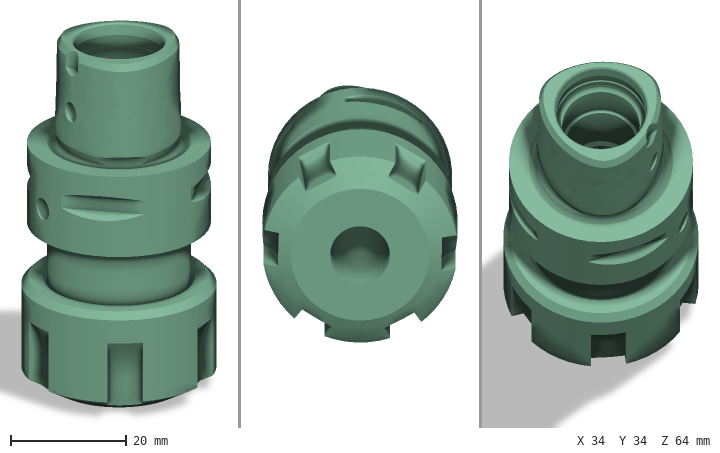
import cadquery as cq
import math

NUT_TOP = 19.65
FILLET_START = 28.0
COLLAR_BOTTOM = 29.95
COLLAR_TOP = 45.05
NECK_TOP = 46.4
TAPER_BOTTOM = 47.35
SHANK_TOP = 64.0

NUT_DIAMETER = 34.0
NUT_FACE_DIAMETER = 24.05
NUT_CONE_HEIGHT = 2.95
NUT_TOP_CHAMFER = 1.2
NUT_RECESS_DIAMETER = 26.5
SLOT_COUNT = 6
SLOT_WIDTH = 6.15
SLOT_FLOOR_RADIUS = 14.2
SLOT_FLOOR_TOP = 7.3
SLOT_TOP = 14.1
SLOT_TOP_RADIUS = 16.8

BODY_DIAMETER = 25.0
FILLET_END_DIAMETER = 27.15
COLLAR_DIAMETER = 32.0
POCKET_COUNT = 4
POCKET_DISTANCE = 14.2
POCKET_HEIGHT = 39.0
POCKET_FLOOR_WIDTH = 2.4
POCKET_SIDE_RISE = 1.1
DIMPLE_DIAMETER = 4.0
DIMPLE_HEIGHT = 36.0
DIMPLE_DEPTH = 0.5
DIMPLE_POINT_ANGLE = 118.0

SHANK_WIDTH = 22.0
LOBE_OFFSET = 0.7
LOBE_COUNT = 3
TAPER_RATIO = 1 / 20
NECK_WIDTH = 21.45
SHANK_CHAMFER_HEIGHT = 1.15
SHANK_CHAMFER_INSET = 0.8
RELIEF_RING_RADIUS = 11.8
RELIEF_TUBE_RADIUS = 1.0
RELIEF_HEIGHT = 45.75
RELIEF_CONE_BOTTOM = 46.2
RELIEF_CONE_ANGLE = 40.0
NOTCH_RADIUS = 2.8
NOTCH_BACK = 9.0
NOTCH_POINT_ANGLE = 90.0
NOTCH_BOTTOM = 60.7
CROSS_HOLE_DIAMETER = 3.6
CROSS_HOLE_HEIGHT = 52.9

THROUGH_DIAMETER = 10.4
THREAD_DIAMETER = 12.3
THREAD_BOTTOM = 41.6
MIDDLE_DIAMETER = 13.5
MIDDLE_BOTTOM = 51.5
LEAD_CONE_BOTTOM = 57.8
LEAD_DIAMETER = 15.0
LEAD_BOTTOM = 58.25
ENTRY_DIAMETER = 15.4
ENTRY_BOTTOM = 58.75
GROOVE_DIAMETER = 16.0
GROOVE_BOTTOM = 59.8
GROOVE_TOP = 61.9
MOUTH_DIAMETER = 16.5
MOUTH_CHAMFER = 0.25


def turned_body():
    """Nut, body and collar as one revolved profile."""
    nut_radius = NUT_DIAMETER / 2
    body_radius = BODY_DIAMETER / 2
    recess_radius = NUT_RECESS_DIAMETER / 2
    recess_depth = recess_radius - body_radius
    fillet_out = FILLET_END_DIAMETER / 2 - body_radius
    fillet_rise = COLLAR_BOTTOM - FILLET_START
    fillet_radius = (fillet_out ** 2 + fillet_rise ** 2) / (2 * fillet_out)
    half_sweep = math.asin(fillet_rise / fillet_radius) / 2
    fillet_middle = (
        body_radius + fillet_radius * (1 - math.cos(half_sweep)),
        FILLET_START + fillet_radius * math.sin(half_sweep),
    )
    return (
        cq.Workplane("XZ")
        .lineTo(NUT_FACE_DIAMETER / 2, 0)
        .lineTo(nut_radius, NUT_CONE_HEIGHT)
        .lineTo(nut_radius, NUT_TOP - NUT_TOP_CHAMFER)
        .lineTo(nut_radius - NUT_TOP_CHAMFER, NUT_TOP)
        .lineTo(recess_radius, NUT_TOP)
        .lineTo(body_radius, NUT_TOP - recess_depth)
        .lineTo(body_radius, FILLET_START)
        .threePointArc(fillet_middle, (FILLET_END_DIAMETER / 2, COLLAR_BOTTOM))
        .lineTo(COLLAR_DIAMETER / 2, COLLAR_BOTTOM)
        .lineTo(COLLAR_DIAMETER / 2, COLLAR_TOP)
        .lineTo(0, COLLAR_TOP)
        .close()
        .revolve(360, (0, 0, 0), (0, 1, 0))
    )


def lobed_outline(width):
    """Return the constant-width curve with a lobe on +Y, starting on -Y."""
    def point(t):
        direction = 2 * math.pi * t - math.pi / 2
        phase = LOBE_COUNT * (direction - math.pi / 2)
        reach = width / 2 + LOBE_OFFSET * math.cos(phase)
        shift = -LOBE_COUNT * LOBE_OFFSET * math.sin(phase)
        return (
            reach * math.cos(direction) - shift * math.sin(direction),
            reach * math.sin(direction) + shift * math.cos(direction),
        )
    return point


def lobed_section(bottom, top, bottom_width, top_width):
    """Solid between two lobed outlines at different heights."""
    return (
        cq.Workplane("XY", origin=(0, 0, bottom))
        .parametricCurve(lobed_outline(bottom_width))
        .workplane(offset=top - bottom)
        .parametricCurve(lobed_outline(top_width))
        .loft(ruled=True)
    )


def shank():
    chamfer_bottom = SHANK_TOP - SHANK_CHAMFER_HEIGHT
    taper_width = SHANK_WIDTH - TAPER_RATIO * (chamfer_bottom - TAPER_BOTTOM)
    end_width = taper_width - 2 * SHANK_CHAMFER_INSET
    root = COLLAR_TOP - RELIEF_TUBE_RADIUS
    return (
        lobed_section(root, NECK_TOP, NECK_WIDTH, NECK_WIDTH)
        .union(lobed_section(NECK_TOP, TAPER_BOTTOM, SHANK_WIDTH, SHANK_WIDTH))
        .union(lobed_section(TAPER_BOTTOM, chamfer_bottom, SHANK_WIDTH, taper_width))
        .union(lobed_section(chamfer_bottom, SHANK_TOP, taper_width, end_width))
    )


def relief_ring():
    """Ring that undercuts the collar face and lobes: a round floor and a conical roof."""
    cone_start = RELIEF_CONE_BOTTOM - RELIEF_HEIGHT
    inner = RELIEF_RING_RADIUS - math.sqrt(RELIEF_TUBE_RADIUS ** 2 - cone_start ** 2)
    outer = RELIEF_RING_RADIUS + RELIEF_TUBE_RADIUS
    cone_rise = (outer - inner) * math.tan(math.radians(RELIEF_CONE_ANGLE))
    return (
        cq.Workplane("XZ")
        .moveTo(inner, RELIEF_CONE_BOTTOM)
        .lineTo(outer, RELIEF_CONE_BOTTOM + cone_rise)
        .lineTo(outer, RELIEF_HEIGHT)
        .threePointArc(
            (RELIEF_RING_RADIUS, RELIEF_HEIGHT - RELIEF_TUBE_RADIUS),
            (inner, RELIEF_CONE_BOTTOM),
        )
        .close()
        .revolve(360, (0, 0, 0), (0, 1, 0))
    )


def wrench_slots():
    """Open-bottomed slots around the nut whose floors sweep outward at the top."""
    rise = SLOT_TOP - SLOT_FLOOR_TOP
    run = SLOT_TOP_RADIUS - SLOT_FLOOR_RADIUS
    sweep_radius = (rise ** 2 + run ** 2) / (2 * run)
    half_sweep = math.asin(rise / sweep_radius) / 2
    sweep_middle = (
        SLOT_FLOOR_RADIUS + sweep_radius * (1 - math.cos(half_sweep)),
        SLOT_FLOOR_TOP + sweep_radius * math.sin(half_sweep),
    )
    slot = (
        cq.Workplane("XZ")
        .moveTo(SLOT_FLOOR_RADIUS, 0)
        .lineTo(SLOT_FLOOR_RADIUS, SLOT_FLOOR_TOP)
        .threePointArc(sweep_middle, (SLOT_TOP_RADIUS, SLOT_TOP))
        .lineTo(NUT_DIAMETER, SLOT_TOP)
        .lineTo(NUT_DIAMETER, 0)
        .close()
        .extrude(SLOT_WIDTH / 2, both=True)
    )
    return around_axis(slot, SLOT_COUNT, 360 / SLOT_COUNT / 2)


def gripper_pockets():
    """Flat-floored pockets with sloping sides around the collar."""
    depth = COLLAR_DIAMETER / 2 - POCKET_DISTANCE
    half_floor = POCKET_FLOOR_WIDTH / 2
    half_mouth = half_floor + POCKET_SIDE_RISE
    pocket = (
        cq.Workplane("XZ", origin=(POCKET_DISTANCE, 0, POCKET_HEIGHT))
        .polyline([(0, -half_floor), (0, half_floor), (depth, half_mouth), (depth, -half_mouth)])
        .close()
        .extrude(COLLAR_DIAMETER / 2, both=True)
    )
    return around_axis(pocket, POCKET_COUNT, 360 / POCKET_COUNT / 2)


def around_axis(cutter, count, first_angle):
    """Join evenly spaced copies of a cutter turned about the Z axis."""
    ring = cq.Workplane("XY")
    for index in range(count):
        angle = first_angle + index * 360 / count
        ring = ring.add(cutter.rotate((0, 0, 0), (0, 0, 1), angle))
    return ring.combine()


def drill(radius, depth, point_angle):
    """Drill with its axis on Z and its shoulder at -depth, ending in a cone."""
    tip = radius / math.tan(math.radians(point_angle / 2))
    return (
        cq.Workplane("XZ")
        .polyline([(0, 0), (radius, 0), (radius, -depth), (0, -depth - tip)])
        .close()
        .revolve(360, (0, 0, 0), (0, 1, 0))
    )


def orientation_dimple():
    """Blind drilled hole in the -Y side of the collar."""
    return (
        drill(DIMPLE_DIAMETER / 2, DIMPLE_DEPTH, DIMPLE_POINT_ANGLE)
        .rotate((0, 0, 0), (1, 0, 0), 90)
        .translate((0, -COLLAR_DIAMETER / 2, DIMPLE_HEIGHT))
    )


def shank_notch():
    """Upright drilled notch in the -Y side of the shank rim."""
    return (
        drill(NOTCH_RADIUS, SHANK_TOP - NOTCH_BOTTOM, NOTCH_POINT_ANGLE)
        .translate((0, -NOTCH_BACK - NOTCH_RADIUS, SHANK_TOP))
    )


def cross_hole():
    """Radial hole through the -Y wall of the shank into the bore."""
    return (
        cq.Workplane("XZ", origin=(0, 0, CROSS_HOLE_HEIGHT))
        .circle(CROSS_HOLE_DIAMETER / 2)
        .extrude(SHANK_WIDTH)
    )


def stepped_bore():
    entry_radius = ENTRY_DIAMETER / 2
    groove_radius = GROOVE_DIAMETER / 2
    mouth_radius = MOUTH_DIAMETER / 2
    return (
        cq.Workplane("XZ")
        .lineTo(THROUGH_DIAMETER / 2, 0)
        .lineTo(THROUGH_DIAMETER / 2, THREAD_BOTTOM)
        .lineTo(THREAD_DIAMETER / 2, THREAD_BOTTOM)
        .lineTo(THREAD_DIAMETER / 2, MIDDLE_BOTTOM)
        .lineTo(MIDDLE_DIAMETER / 2, MIDDLE_BOTTOM)
        .lineTo(MIDDLE_DIAMETER / 2, LEAD_CONE_BOTTOM)
        .lineTo(LEAD_DIAMETER / 2, LEAD_BOTTOM)
        .lineTo(entry_radius, ENTRY_BOTTOM)
        .lineTo(entry_radius, GROOVE_BOTTOM)
        .lineTo(groove_radius, GROOVE_BOTTOM)
        .lineTo(groove_radius, GROOVE_TOP)
        .lineTo(entry_radius, GROOVE_TOP)
        .lineTo(mouth_radius - MOUTH_CHAMFER, SHANK_TOP - MOUTH_CHAMFER)
        .lineTo(mouth_radius, SHANK_TOP)
        .lineTo(0, SHANK_TOP)
        .close()
        .revolve(360, (0, 0, 0), (0, 1, 0))
    )


result = (
    turned_body()
    .cut(relief_ring())
    .union(shank().cut(relief_ring()))
    .cut(wrench_slots())
    .cut(gripper_pockets())
    .cut(orientation_dimple())
    .cut(shank_notch())
    .cut(cross_hole())
    .cut(stepped_bore())
)